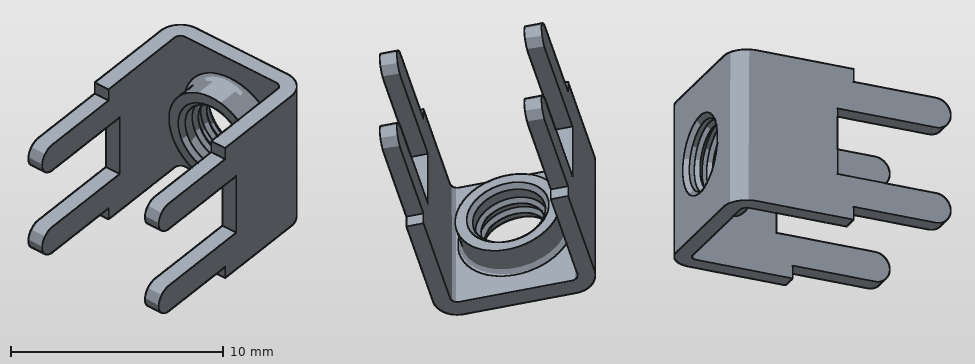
import cadquery as cq

width = 7.87
height = 7.87
depth = 11.18
sheet = 0.84
outer_bend = 1.19
inner_bend = outer_bend - sheet

shoulder_length = 6.17
slot_start = 5.33
leg_width = 1.55
leg_inset = 0.67
leg_tip_radius = leg_width / 2

collar_length = 1.45
collar_radius = 2.56
collar_root_radius = 2.81
collar_root_length = 0.35

crest_radius = 1.55
mouth_radius = 2.0
mouth_chamfer = 0.23
bore_radius = mouth_radius - mouth_chamfer
pitch = 0.64
flank_length = 0.2
relief_length = 0.53
crest_count = 2

back = depth / 2
wall_face = back - sheet
collar_face = wall_face - collar_length


def channel_box(channel_width, bend_radius, back_face):
    """Full-height block from the open end to back_face, rounded at its back corners."""
    length = back_face + depth / 2
    block = cq.Workplane("XY").box(channel_width, length, height)
    rounded = block.edges("|Z and >Y").fillet(bend_radius)
    return rounded.translate((0, back_face - length / 2, 0))


def make_channel():
    outside = channel_box(width, outer_bend, back)
    inside = channel_box(width - 2 * sheet, inner_bend, wall_face)
    return outside.cut(inside)


def leg_profile():
    """Side outline of both walls, including the four round-ended legs."""
    body = cq.Workplane("XY").box(width, shoulder_length, height)
    body = body.translate((0, back - shoulder_length / 2, 0))
    leg_z = height / 2 - leg_inset - leg_width / 2
    slot_height = 2 * leg_z - leg_width
    slot_length = shoulder_length - slot_start
    slot = cq.Workplane("XY").box(width, slot_length, slot_height)
    body = body.cut(slot.translate((0, back - shoulder_length + slot_length / 2, 0)))
    straight_length = depth - slot_start - leg_tip_radius
    tip_y = -depth / 2 + leg_tip_radius
    for z in (-leg_z, leg_z):
        straight = cq.Workplane("XY").box(width, straight_length, leg_width)
        tip = (
            cq.Workplane("YZ")
            .center(tip_y, z)
            .circle(leg_tip_radius)
            .extrude(width / 2, both=True)
        )
        body = body.union(straight.translate((0, tip_y + straight_length / 2, z)))
        body = body.union(tip)
    return body


def revolve_about_y(profile):
    return profile.close().revolve(360, (0, 0, 0), (0, 1, 0))


def make_collar():
    overlap = sheet / 2
    root_y = wall_face - collar_root_length
    profile = (
        cq.Workplane("XY")
        .moveTo(0, collar_face)
        .lineTo(collar_radius, collar_face)
        .lineTo(collar_radius, root_y)
        .tangentArcPoint((collar_root_radius, wall_face), relative=False)
        .lineTo(collar_root_radius, wall_face + overlap)
        .lineTo(0, wall_face + overlap)
    )
    return revolve_about_y(profile)


def make_bore():
    """Bore chamfered at both ends, narrowed by ring-shaped thread crests."""
    profile = (
        cq.Workplane("XY")
        .moveTo(0, collar_face)
        .lineTo(mouth_radius, collar_face)
        .lineTo(bore_radius, collar_face + mouth_chamfer)
    )
    first_crest = collar_face + mouth_chamfer + relief_length + flank_length
    for index in range(crest_count):
        crest_y = first_crest + index * pitch
        profile = (
            profile.lineTo(bore_radius, crest_y - flank_length)
            .lineTo(crest_radius, crest_y)
            .lineTo(bore_radius, crest_y + flank_length)
        )
    profile = (
        profile.lineTo(bore_radius, back - mouth_chamfer)
        .lineTo(mouth_radius, back)
        .lineTo(0, back)
    )
    return revolve_about_y(profile)


result = make_channel().intersect(leg_profile()).union(make_collar()).cut(make_bore())